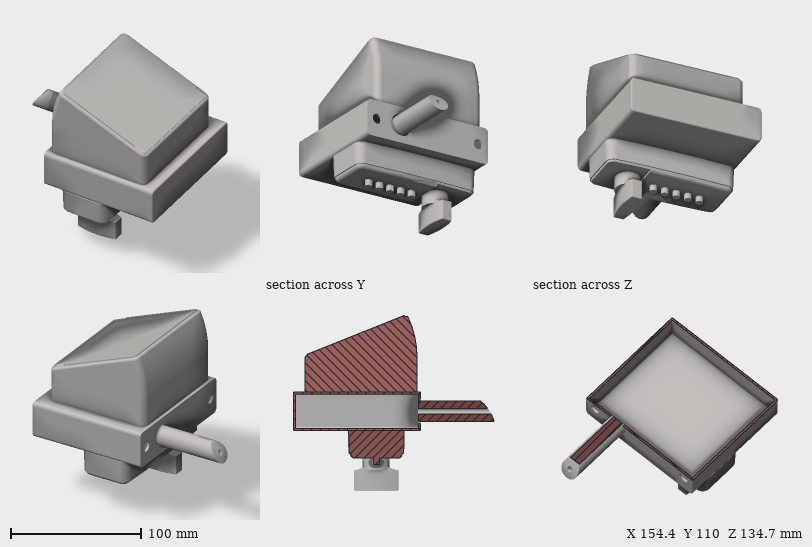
import cadquery as cq
import math


HOUSING_LENGTH = 97.9
HOUSING_WIDTH = 110.0
HOUSING_HEIGHT = 30.0
HOUSING_EDGE_RADIUS = 3.1
HOUSING_END_RADIUS = 1.0
WALL = 2.0
MID_HEIGHT = HOUSING_HEIGHT / 2

PLATE_WIDTH = HOUSING_WIDTH - 2 * WALL
PLATE_HEIGHT = HOUSING_HEIGHT - 2 * WALL
PLATE_CORNER_RADIUS = HOUSING_EDGE_RADIUS - WALL
PLATE_HOLE_DIAMETER = 8.0
PLATE_HOLE_SPACING = 92.0
CABLE_CLEARANCE = 1.1

CABLE_DIAMETER = 15.9
CABLE_BORE = 4.0
CABLE_REACH = 56.5
CABLE_Y = 24.0
SCOOP_TOP_REACH = 45.9
SCOOP_MID_REACH = 53.0

BUTTON_BACK_X = 2.6
BUTTON_LENGTH = 86.3
BUTTON_FRONT_X = BUTTON_BACK_X + BUTTON_LENGTH
BUTTON_WIDTH = 96.0
BUTTON_Y = -3.1
BUTTON_STRAIGHT_HEIGHT = 26.1
BUTTON_BACK_RADIUS = 73.6
BACK_SWEEP = math.radians(32)
BUTTON_CORNER_RADIUS = 5.1
BUTTON_TOP_RADIUS = 2.0
SLOPE_ANGLE = 21.8
PAD_BACK_X = 12.2
PAD_FRONT_X = 87.0
PAD_TOP_Z = 88.8
PAD_THICKNESS = 1.0
PAD_MARGIN = 0.5
PAD_CORNER_RADIUS = BUTTON_CORNER_RADIUS - BUTTON_TOP_RADIUS - PAD_MARGIN
PAD_WIDTH = BUTTON_WIDTH - 2 * (BUTTON_TOP_RADIUS + PAD_MARGIN)
PAD_BEVEL_LENGTH = 10.5
PAD_BEVEL_WIDTH = 2.0
PAD_BEVEL_DEPTH = 0.8

BASE_X = 34
BASE_END_HALF_WIDTH = 20.4
BASE_MID_HALF_WIDTH = 21.9
BASE_LENGTH = 108.4
BASE_DEPTH = 17.8
BASE_DRAFT = 1.6
BASE_CORNER_RADIUS = 7.0
TIER_INSET = 1.5
TIER_DEPTH = 3.2
TIER_EDGE_RADIUS = 3.1
STEP_DEPTH = 1.5

PIN_DIAMETER = 6.0
PIN_LENGTH = 5.0
PIN_COUNT = 5
PIN_PITCH = 9.7
FIRST_PIN_Y = 32.0
PIN_GROOVE_WIDTH = 1.7
PIN_GROOVE_DEPTH = 0.6

KNOB_Y = -28.5
COLLAR_DIAMETER = 20.7
COLLAR_BOTTOM_Z = -30.1
WING_BOTTOM_Z = -46.0
WING_LENGTH = 34.1
WING_END_THICKNESS = 8.6
WING_MID_THICKNESS = 13.3
WING_RISE = 2.5
WING_SLOPE_INNER = 8.0
WING_SLOPE_OUTER = 14.8
WING_EDGE_CHAMFER = 0.5


def make_housing():
    outer = (
        cq.Workplane("XY")
        .box(HOUSING_LENGTH, HOUSING_WIDTH, HOUSING_HEIGHT, centered=(False, True, False))
        .edges("|X")
        .fillet(HOUSING_EDGE_RADIUS)
        .faces(">X")
        .edges()
        .fillet(HOUSING_END_RADIUS)
    )
    return outer.cut(plate_blank(HOUSING_LENGTH - WALL))


def plate_blank(length):
    """Rounded block that fits the housing's opening and reaches `length` into it."""
    return (
        cq.Workplane("XY")
        .box(length, PLATE_WIDTH, PLATE_HEIGHT, centered=(False, True, True))
        .edges("|X")
        .fillet(PLATE_CORNER_RADIUS)
        .translate((0, 0, MID_HEIGHT))
    )


def make_plate():
    face = cq.Workplane("YZ", origin=(0, 0, MID_HEIGHT))
    half_spacing = PLATE_HOLE_SPACING / 2
    screw_holes = (
        face.pushPoints([(-half_spacing, 0), (half_spacing, 0)])
        .circle(PLATE_HOLE_DIAMETER / 2)
        .extrude(WALL)
    )
    cable_hole = face.center(CABLE_Y, 0).circle(CABLE_DIAMETER / 2 + CABLE_CLEARANCE).extrude(WALL)
    return plate_blank(WALL).cut(screw_holes).cut(cable_hole)


def make_cable():
    """Tube from the plate's inner face outwards, its free end cut by an arc."""
    radius = CABLE_DIAMETER / 2
    tube = (
        cq.Workplane("YZ", origin=(-CABLE_REACH, CABLE_Y, MID_HEIGHT))
        .circle(radius)
        .circle(CABLE_BORE / 2)
        .extrude(CABLE_REACH + WALL)
    )
    side_outline = (
        cq.Workplane("XZ", origin=(0, CABLE_Y, MID_HEIGHT))
        .moveTo(-SCOOP_TOP_REACH, radius)
        .threePointArc((-SCOOP_MID_REACH, 0), (-CABLE_REACH, -radius))
        .lineTo(WALL, -radius)
        .lineTo(WALL, radius)
        .close()
        .extrude(radius, both=True)
    )
    return tube.intersect(side_outline)


def slope_z(x):
    """Height of the button's sloped surface, beneath the pad."""
    angle = math.radians(SLOPE_ANGLE)
    return PAD_TOP_Z - PAD_THICKNESS / math.cos(angle) - (x - PAD_BACK_X) * math.tan(angle)


def back_point(sweep):
    """Point on the button's curved back, `sweep` radians above the straight part."""
    x = BUTTON_BACK_X + BUTTON_BACK_RADIUS * (1 - math.cos(sweep))
    z = HOUSING_HEIGHT + BUTTON_STRAIGHT_HEIGHT + BUTTON_BACK_RADIUS * math.sin(sweep)
    return x, z


def make_button():
    angle = math.radians(SLOPE_ANGLE)
    slope = cq.Vector(math.sin(angle), 0, math.cos(angle))
    top_x, top_z = back_point(BACK_SWEEP)
    column = (
        cq.Workplane("XZ", origin=(0, BUTTON_Y, 0))
        .moveTo(BUTTON_BACK_X, HOUSING_HEIGHT)
        .lineTo(*back_point(0))
        .threePointArc(back_point(BACK_SWEEP / 2), (top_x, top_z))
        .lineTo(BUTTON_FRONT_X, top_z)
        .lineTo(BUTTON_FRONT_X, HOUSING_HEIGHT)
        .close()
        .extrude(BUTTON_WIDTH / 2, both=True)
        .edges("|Z or %CIRCLE")
        .fillet(BUTTON_CORNER_RADIUS)
    )
    above_slope = (
        cq.Workplane("XZ", origin=(0, BUTTON_Y, 0))
        .moveTo(0, slope_z(0))
        .lineTo(HOUSING_LENGTH, slope_z(HOUSING_LENGTH))
        .lineTo(HOUSING_LENGTH, 2 * PAD_TOP_Z)
        .lineTo(0, 2 * PAD_TOP_Z)
        .close()
        .extrude(BUTTON_WIDTH, both=True)
    )
    wedge = column.cut(above_slope)
    wedge = wedge.faces(cq.selectors.ParallelDirSelector(slope)).edges().fillet(BUTTON_TOP_RADIUS)
    return wedge.union(make_pad(slope))


def make_pad(normal):
    """Thin raised pad on the slope, bevelled along both sides near its low end."""
    length = (PAD_FRONT_X - PAD_BACK_X) / math.cos(math.radians(SLOPE_ANGLE))
    middle_x = (PAD_BACK_X + PAD_FRONT_X) / 2
    downhill = cq.Vector(normal.z, 0, -normal.x)
    plane = cq.Plane(origin=(middle_x, BUTTON_Y, slope_z(middle_x)), xDir=downhill, normal=normal)
    pad = (
        cq.Workplane(plane)
        .rect(length, PAD_WIDTH)
        .extrude(PAD_THICKNESS)
        .edges(cq.selectors.ParallelDirSelector(normal))
        .fillet(PAD_CORNER_RADIUS)
    )
    bevel_plane = cq.Plane(origin=plane.toWorldCoords((length / 2, 0, 0)), xDir=(0, 1, 0), normal=downhill)
    for side in (-1, 1):
        edge_y = side * PAD_WIDTH / 2
        bevel = (
            cq.Workplane(bevel_plane)
            .moveTo(edge_y, PAD_THICKNESS)
            .lineTo(edge_y - side * PAD_BEVEL_WIDTH, PAD_THICKNESS)
            .lineTo(edge_y, PAD_THICKNESS - PAD_BEVEL_DEPTH)
            .close()
            .extrude(-PAD_BEVEL_LENGTH)
        )
        pad = pad.cut(bevel)
    return pad


def bulged_outline(inset, z):
    """Closed outline with straight ends and bulging sides, `inset` inside the base's top rim."""
    half_length = BASE_LENGTH / 2 - inset
    end = BASE_END_HALF_WIDTH - inset
    middle = BASE_MID_HALF_WIDTH - inset
    return (
        cq.Workplane("XY", origin=(BASE_X, 0, z))
        .moveTo(-end, -half_length)
        .lineTo(end, -half_length)
        .threePointArc((middle, 0), (end, half_length))
        .lineTo(-end, half_length)
        .threePointArc((-middle, 0), (-end, -half_length))
        .close()
    )


def make_tub():
    tub = (
        bulged_outline(0, 0)
        .extrude(-BASE_DEPTH, taper=BASE_DRAFT)
        .edges("not (#Z or %CIRCLE)")
        .fillet(BASE_CORNER_RADIUS)
    )
    tier = (
        bulged_outline(TIER_INSET, -BASE_DEPTH)
        .extrude(-TIER_DEPTH)
        .edges("|Z")
        .fillet(BASE_CORNER_RADIUS - TIER_INSET)
        .faces("<Z")
        .edges()
        .fillet(TIER_EDGE_RADIUS)
    )
    step_edge_y = KNOB_Y + COLLAR_DIAMETER / 2
    step_origin = (BASE_X, -BASE_LENGTH / 2, -BASE_DEPTH - TIER_DEPTH)
    step = cq.Workplane("XY", origin=step_origin).box(
        2 * BASE_MID_HALF_WIDTH,
        BASE_LENGTH / 2 + step_edge_y,
        STEP_DEPTH,
        centered=(True, False, False),
    )
    return tub.union(tier.cut(step))


def make_pin(y):
    """Round pin with a groove down its side."""
    pin_top = -BASE_DEPTH
    pin_height = TIER_DEPTH + PIN_LENGTH
    pin = cq.Workplane("XY", origin=(BASE_X, y, pin_top)).circle(PIN_DIAMETER / 2).extrude(-pin_height)
    groove = cq.Workplane("XY", origin=(BASE_X - PIN_DIAMETER / 2, y, pin_top - pin_height)).box(
        2 * PIN_GROOVE_DEPTH, PIN_GROOVE_WIDTH, pin_height, centered=(True, True, False)
    )
    return pin.cut(groove)


def make_knob():
    """Round collar that carries a wing with bulging sides and sloped shoulders."""
    collar = (
        cq.Workplane("XY", origin=(BASE_X, KNOB_Y, -BASE_DEPTH))
        .circle(COLLAR_DIAMETER / 2)
        .extrude(COLLAR_BOTTOM_Z + BASE_DEPTH)
    )
    half_length = WING_LENGTH / 2
    half_end = WING_END_THICKNESS / 2
    half_mid = WING_MID_THICKNESS / 2
    blade = (
        cq.Workplane("XY", origin=(BASE_X, KNOB_Y, WING_BOTTOM_Z))
        .moveTo(-half_length, -half_end)
        .threePointArc((0, -half_mid), (half_length, -half_end))
        .lineTo(half_length, half_end)
        .threePointArc((0, half_mid), (-half_length, half_end))
        .close()
        .extrude(COLLAR_BOTTOM_Z + WING_RISE - WING_BOTTOM_Z)
        .edges("|Z or <Z")
        .chamfer(WING_EDGE_CHAMFER)
    )
    shoulder_z = COLLAR_BOTTOM_Z + WING_RISE
    shoulders = (
        cq.Workplane("XZ", origin=(BASE_X, KNOB_Y, 0))
        .moveTo(-half_length, WING_BOTTOM_Z)
        .lineTo(half_length, WING_BOTTOM_Z)
        .lineTo(half_length, COLLAR_BOTTOM_Z)
        .lineTo(WING_SLOPE_OUTER, COLLAR_BOTTOM_Z)
        .lineTo(WING_SLOPE_INNER, shoulder_z)
        .lineTo(-WING_SLOPE_INNER, shoulder_z)
        .lineTo(-WING_SLOPE_OUTER, COLLAR_BOTTOM_Z)
        .lineTo(-half_length, COLLAR_BOTTOM_Z)
        .close()
        .extrude(WING_MID_THICKNESS, both=True)
    )
    return collar.union(blade.intersect(shoulders))


def make_base():
    base = make_tub().union(make_knob())
    for index in range(PIN_COUNT):
        base = base.union(make_pin(FIRST_PIN_Y - index * PIN_PITCH))
    return base


housing = make_housing()
plate = make_plate()
cable = make_cable()
button = make_button()
base = make_base()

result = cq.Compound.makeCompound([housing.val(), plate.val(), cable.val(), button.val(), base.val()])